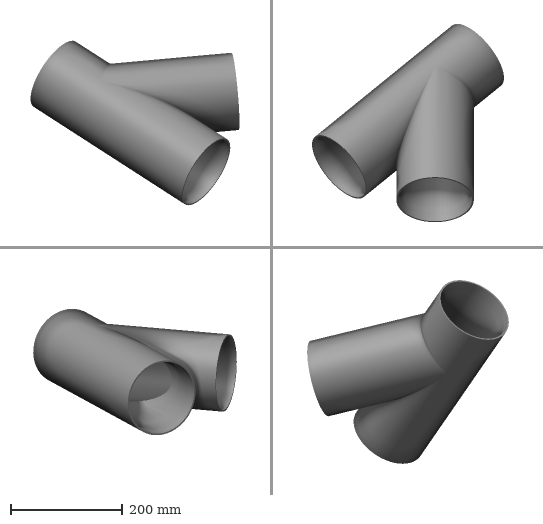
import cadquery as cq
import math

outer_diameter = 139.5
inner_diameter = 133.5
run_length = 348.0
crossing_distance = 104.7
branch_length = 244.0
branch_angle = math.radians(45)

run_start = cq.Vector(-crossing_distance, 0, 0)
run_direction = cq.Vector(1, 0, 0)
branch_start = cq.Vector(0, 0, 0)
branch_direction = cq.Vector(math.cos(branch_angle), math.sin(branch_angle), 0)


def joined_cylinders(diameter):
    """Run and branch cylinders of one diameter, fused into a solid Y."""
    radius = diameter / 2
    run = cq.Solid.makeCylinder(radius, run_length, run_start, run_direction)
    branch = cq.Solid.makeCylinder(radius, branch_length, branch_start, branch_direction)
    return cq.Workplane(run).union(cq.Workplane(branch))


result = joined_cylinders(outer_diameter).cut(joined_cylinders(inner_diameter))